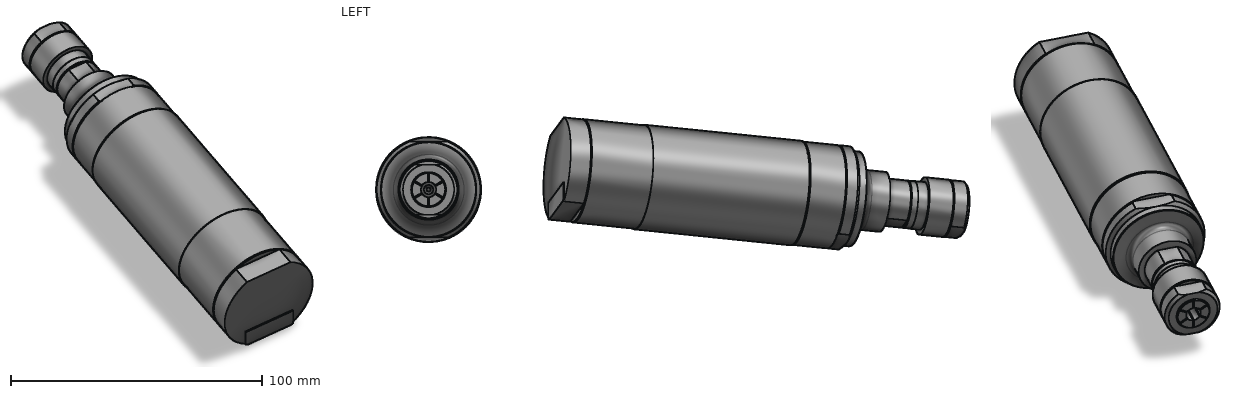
import cadquery as cq
import math

TOTAL_LENGTH = 168.5

NUT_FACE = 0.5
NUT_TIP_DIA = 20.4
NUT_DIA = 23.0
NUT_CHAMFER_END = 1.7
NUT_SEAM_START = 7.0
NUT_FLATS_WIDTH = 19.9
NUT_END = 17.3

SHAFT_DIA = 19.2
SHAFT_STEP = 21.5
NECK_DIA = 19.0
NECK_FLAT_START = 24.6
NECK_FLATS_WIDTH = 17.2

BOSS_START = 33.7
BOSS_DIA = 24.0
FLARE_START = 41.5
FLARE_RADIUS = 2.7
FLARE_TILT = 14.0
FLANGE_DIA = 38.0
FLANGE_EDGE_DIA = 37.5
FLANGE_END = 48.3

COLLAR_DIA = 41.5
COLLAR_CHAMFER_END = 49.5
COLLAR_FLATS_WIDTH = FLANGE_DIA
COLLAR_END = 54.4

TUBE_GROOVE_START = 68.9
TUBE_START = 69.5
TUBE_GROOVE_DIA = 38.0
TUBE_DIA = 42.0
TUBE_END = 133.9

CAP_START = 159.2
CAP_FLATS_WIDTH = 36.0
CAP_END = 167.9
PAD_WIDTH = 22.2
PAD_TOP = -10.3

SEAM_WIDTH = 0.5
SEAM_DEPTH = 0.2

COLLET_RIM_DIA = 13.1
COLLET_DIA = 14.0
COLLET_BORE_DIA = 6.0
COLLET_BORE_DEPTH = 8.5
CENTRE_CONE_DIA = 3.7
CENTRE_CONE_DEPTH = 1.2
CENTRE_HOLE_DIA = 1.6
CENTRE_HOLE_DEPTH = 2.5
SLOT_COUNT = 6
SLOT_WIDTH = 0.5
SLOT_DEPTH = 6.7


def cylinder(start, end, diameter):
    return cq.Workplane("YZ", origin=(start, 0, 0)).circle(diameter / 2).extrude(end - start)


def turned_cavity(points):
    """Solid of revolution about X from (x, radius) points."""
    return cq.Workplane("XY").polyline(points).close().revolve(360, (0, 0, 0), (1, 0, 0))


def flats_cut(start, end, width):
    """The material above and below a pair of flats facing +Z and -Z."""
    length = end - start
    block = cq.Workplane("XY").box(length, 2 * TUBE_DIA, 2 * TUBE_DIA)
    core = cq.Workplane("XY").box(length, 2 * TUBE_DIA, width)
    return block.cut(core).translate(((start + end) / 2, 0, 0))


def turned_body():
    tilt = math.radians(FLARE_TILT)
    turn = math.pi / 2 - tilt
    flare_centre_r = BOSS_DIA / 2 + FLARE_RADIUS

    def flare_point(angle):
        x = FLARE_START + FLARE_RADIUS * math.sin(angle)
        return x, flare_centre_r - FLARE_RADIUS * math.cos(angle)

    flare_end_x, flare_end_r = flare_point(turn)
    face_end_x = flare_end_x + (FLANGE_EDGE_DIA / 2 - flare_end_r) * math.tan(tilt)
    edge_rise = (FLANGE_DIA - FLANGE_EDGE_DIA) / 2

    profile = (
        cq.Workplane("XY")
        .moveTo(0, 0)
        .lineTo(0, COLLET_RIM_DIA / 2)
        .lineTo(NUT_FACE, COLLET_DIA / 2)
        .lineTo(NUT_FACE, NUT_TIP_DIA / 2)
        .lineTo(NUT_CHAMFER_END, NUT_DIA / 2)
        .lineTo(NUT_END, NUT_DIA / 2)
        .lineTo(NUT_END, SHAFT_DIA / 2)
        .lineTo(SHAFT_STEP, SHAFT_DIA / 2)
        .lineTo(SHAFT_STEP, NECK_DIA / 2)
        .lineTo(BOSS_START, NECK_DIA / 2)
        .lineTo(BOSS_START, BOSS_DIA / 2)
        .lineTo(FLARE_START, BOSS_DIA / 2)
        .threePointArc(flare_point(turn / 2), (flare_end_x, flare_end_r))
        .lineTo(face_end_x, FLANGE_EDGE_DIA / 2)
        .lineTo(face_end_x + edge_rise, FLANGE_DIA / 2)
        .lineTo(FLANGE_END, FLANGE_DIA / 2)
        .lineTo(COLLAR_CHAMFER_END, COLLAR_DIA / 2)
        .lineTo(TUBE_GROOVE_START, COLLAR_DIA / 2)
        .lineTo(TUBE_GROOVE_START, TUBE_GROOVE_DIA / 2)
        .lineTo(TUBE_START, TUBE_GROOVE_DIA / 2)
        .lineTo(TUBE_START, TUBE_DIA / 2)
        .lineTo(TUBE_END, TUBE_DIA / 2)
        .lineTo(TUBE_END, COLLAR_DIA / 2)
        .lineTo(CAP_END, COLLAR_DIA / 2)
        .lineTo(CAP_END, 0)
        .close()
    )
    return profile.revolve(360, (0, 0, 0), (1, 0, 0))


def seam(start, diameter):
    """Shallow square groove around the body."""
    end = start + SEAM_WIDTH
    return cylinder(start, end, 2 * diameter).cut(cylinder(start, end, diameter - 2 * SEAM_DEPTH))


def rear_pad():
    bottom = -CAP_FLATS_WIDTH / 2
    pad = cq.Workplane("XY").box(
        TOTAL_LENGTH - CAP_END, PAD_WIDTH, PAD_TOP - bottom, centered=(False, True, False)
    )
    return pad.translate((CAP_END, 0, bottom)).intersect(cylinder(CAP_END, TOTAL_LENGTH, COLLAR_DIA))


def collet_cut():
    cone_end = COLLET_BORE_DEPTH + CENTRE_CONE_DEPTH
    cut = turned_cavity([
        (0, 0),
        (0, COLLET_BORE_DIA / 2),
        (COLLET_BORE_DEPTH, COLLET_BORE_DIA / 2),
        (COLLET_BORE_DEPTH, CENTRE_CONE_DIA / 2),
        (cone_end, CENTRE_HOLE_DIA / 2),
        (cone_end + CENTRE_HOLE_DEPTH, CENTRE_HOLE_DIA / 2),
        (cone_end + CENTRE_HOLE_DEPTH, 0),
    ])
    slot = (
        cq.Workplane("XY")
        .box(SLOT_DEPTH, SLOT_WIDTH, COLLET_DIA / 2, centered=(False, True, False))
        .intersect(cylinder(0, SLOT_DEPTH, COLLET_DIA))
    )
    for index in range(SLOT_COUNT):
        cut = cut.union(slot.rotate((0, 0, 0), (1, 0, 0), index * 360 / SLOT_COUNT))
    return cut


result = turned_body()

result = result.cut(flats_cut(0, NUT_SEAM_START, NUT_FLATS_WIDTH))
result = result.cut(flats_cut(NECK_FLAT_START, BOSS_START, NECK_FLATS_WIDTH))
result = result.cut(flats_cut(FLANGE_END, COLLAR_END, COLLAR_FLATS_WIDTH))
result = result.cut(flats_cut(CAP_START + SEAM_WIDTH, CAP_END, CAP_FLATS_WIDTH))

result = result.cut(seam(NUT_SEAM_START, NUT_DIA))
result = result.cut(seam(NECK_FLAT_START - SEAM_WIDTH, NECK_DIA))
result = result.cut(seam(COLLAR_END - SEAM_WIDTH, COLLAR_DIA))
result = result.cut(seam(CAP_START, COLLAR_DIA))

result = result.union(rear_pad())
result = result.cut(collet_cut())